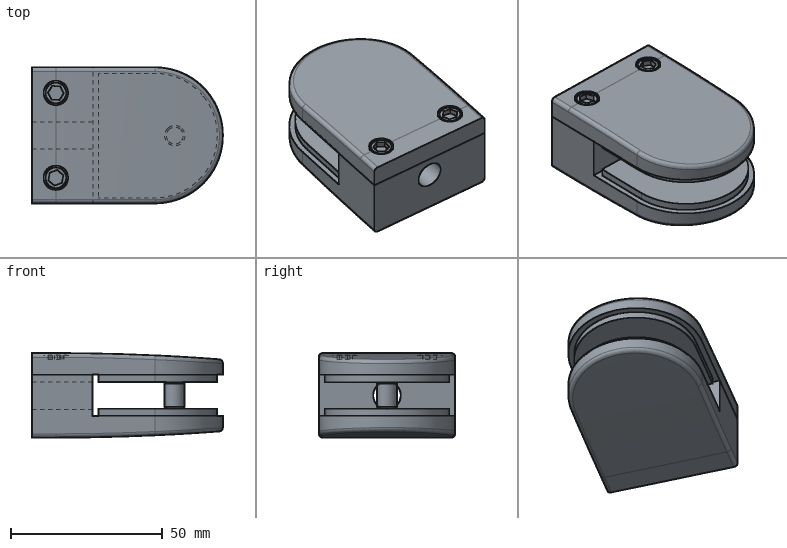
import cadquery as cq
import math

length = 63.0
width = 45.0
height = 28.0
nose_radius = width / 2
nose_center_x = length - nose_radius
rim_fillet = 1.4

flat_length = 7.9
bow_radius = 705.6

slot_start_x = 20.05
slot_height = 13.6
slot_top = slot_height / 2
pad_thickness = 2.45
pad_start_x = 21.9
pad_margin = 1.95
pad_radius = nose_radius - pad_margin

mount_hole_diameter = 9.0

pin_diameter = 6.7
pin_x = 47.0
pin_length = slot_height - 2 * pad_thickness
pin_chamfer = 0.55

screw_x = flat_length
screw_y = 14.0
screw_diameter = 8.05
screw_sink = 0.2
screw_chamfer = 0.6
socket_corner_diameter = 5.2
socket_depth = 1.9
socket_angles = {screw_y: -3.0, -screw_y: 20.0}


def rounded_plate(start_x, radius, bottom, thickness):
    """Plate with a straight back edge and a half-round nose."""
    return (
        cq.Workplane("XY")
        .workplane(offset=bottom)
        .moveTo(start_x, -radius)
        .lineTo(nose_center_x, -radius)
        .threePointArc((nose_center_x + radius, 0), (nose_center_x, radius))
        .lineTo(start_x, radius)
        .close()
        .extrude(thickness)
    )


def bow_drop(x):
    """Distance the bowed face has fallen toward the middle at x."""
    return bow_radius - math.sqrt(bow_radius**2 - (x - flat_length) ** 2)


def side_profile():
    """Full-width block whose top and bottom follow the bowed faces."""
    half_height = height / 2
    middle_x = (flat_length + length) / 2
    middle_z = half_height - bow_drop(middle_x)
    nose_z = half_height - bow_drop(length)
    return (
        cq.Workplane("XZ")
        .moveTo(0, -half_height)
        .lineTo(flat_length, -half_height)
        .threePointArc((middle_x, -middle_z), (length, -nose_z))
        .lineTo(length, nose_z)
        .threePointArc((middle_x, middle_z), (flat_length, half_height))
        .lineTo(0, half_height)
        .close()
        .extrude(width / 2, both=True)
    )


def make_envelope():
    """Outer shape shared by the base and the cover, with its rims rounded."""
    envelope = rounded_plate(0, nose_radius, -height / 2, height).intersect(side_profile())
    rims = envelope.faces(">Z or <Z").edges("|X")
    bowed_rims = envelope.edges("not(|X or |Y or |Z)")
    return envelope.newObject(rims.vals() + bowed_rims.vals()).fillet(rim_fillet)


def half_space(bottom, top):
    """Block that covers the whole plan between two heights."""
    return (
        cq.Workplane("XY")
        .workplane(offset=bottom)
        .center(length / 2, 0)
        .rect(length, width)
        .extrude(top - bottom)
    )


def make_base(envelope):
    """Lower jaw with the solid back block, mounting hole and lower pad."""
    slot = (
        cq.Workplane("XY")
        .box(length - slot_start_x, width, slot_height, centered=(False, True, True))
        .translate((slot_start_x, 0, 0))
    )
    mount_hole = cq.Workplane("YZ").circle(mount_hole_diameter / 2).extrude(slot_start_x)
    pad = rounded_plate(pad_start_x, pad_radius, -slot_top, pad_thickness)
    return envelope.intersect(half_space(-height / 2, slot_top)).cut(slot).cut(mount_hole).union(pad)


def screw_recess(y, socket_angle):
    """Space around and inside one sunken, chamfered hex socket head."""
    head_top = height / 2 - screw_sink
    recess_depth = screw_sink + screw_chamfer
    recess = (
        cq.Workplane("XY")
        .workplane(offset=height / 2 - recess_depth)
        .circle(screw_diameter / 2)
        .extrude(recess_depth)
    )
    head = (
        cq.Workplane("XY")
        .workplane(offset=head_top - screw_chamfer)
        .circle(screw_diameter / 2)
        .workplane(offset=screw_chamfer)
        .circle(screw_diameter / 2 - screw_chamfer)
        .loft(ruled=True)
    )
    socket = (
        cq.Workplane("XY")
        .workplane(offset=head_top - socket_depth)
        .polygon(6, socket_corner_diameter)
        .extrude(socket_depth)
        .rotate((0, 0, 0), (0, 0, 1), socket_angle)
    )
    return recess.cut(head).union(socket).translate((screw_x, y, 0))


def make_cover(envelope):
    """Upper jaw with the upper pad and the screw heads."""
    pad = rounded_plate(pad_start_x, pad_radius, slot_top - pad_thickness, pad_thickness)
    cover = envelope.intersect(half_space(slot_top, height / 2)).union(pad)
    for y, socket_angle in socket_angles.items():
        cover = cover.cut(screw_recess(y, socket_angle))
    return cover


def make_pin():
    """Chamfered pin that stands between the two pads."""
    return (
        cq.Workplane("XY")
        .workplane(offset=-pin_length / 2)
        .center(pin_x, 0)
        .circle(pin_diameter / 2)
        .extrude(pin_length)
        .edges("%CIRCLE")
        .chamfer(pin_chamfer)
    )


envelope = make_envelope()
base = make_base(envelope)
cover = make_cover(envelope)
pin = make_pin()

result = cq.Compound.makeCompound([body.solids().val() for body in (base, cover, pin)])